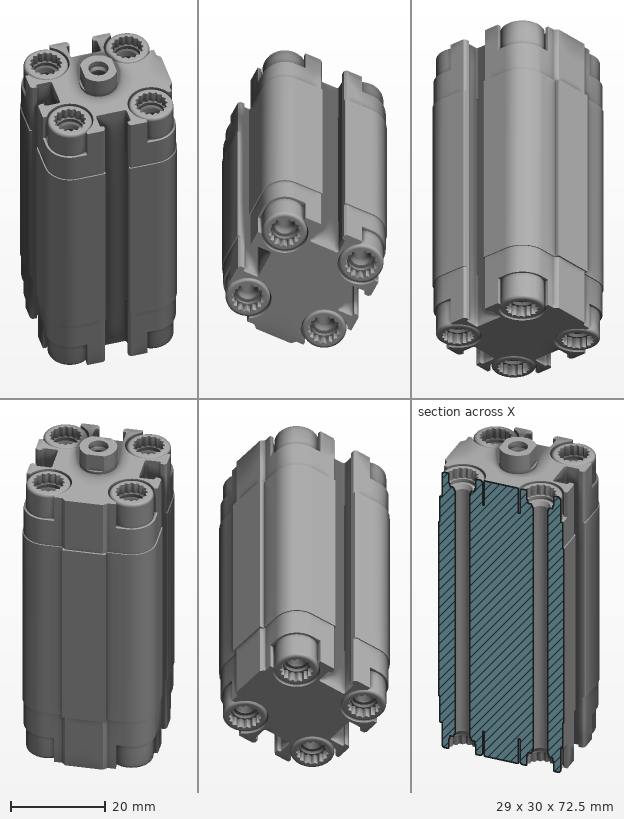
import cadquery as cq
import math

housing_height = 68.0
cap_height = 12.5
rod_stickout = 4.5
barrel_half = 14.5
corner_pitch = 18.0
cap_inset = 0.25
corner_center = corner_pitch / 2

barrel_rib_y = 15.5
barrel_rib_half_width = 4.7
cap_rib_y = 15.1
cap_rib_top_half_width = 4.1
cap_rib_foot_half_width = barrel_rib_half_width + cap_inset

slot_mouth_half = 2.6
slot_inner_half = 3.4
slot_lip_inner = 12.9
slot_floor = 9.4
cap_slot_corner_radius = 0.45
sharp_corner = 0.0
barrel_lip_bevel = 0.2
cap_lip_bevel = 0.45

head_diameter = 9.5
head_edge_radius = 0.75
relief_diameter = 10.0
relief_depth = 6.1
relief_wall = 6.66
relief_reach = barrel_half - relief_wall

socket_points = 16
socket_tip_diameter = 7.1
socket_root_diameter = 6.1
socket_depth = 2.4
socket_floor_diameter = 5.7
socket_floor_depth = 3.2
countersink_diameter = 4.3
thread_diameter = 3.24
countersink_depth = 1.0

rod_diameter = 8.0
rod_flat_width = 7.0
rod_flat_length = 3.9
rod_engagement = cap_height
rod_counterbore_depth = 1.5
rod_thread_depth = 8.0
drill_point_angle = 118.0

corner_signs = [(-1, -1), (1, -1), (-1, 1), (1, 1)]
slot_angles = [-90, 0, 90]


def t_slot(face, lip_bevel, corner_radius, bottom, height):
    """T-slot cutter for the -Y face at distance `face`, with bevelled lip edges."""
    slot_middle = (slot_lip_inner + slot_floor) / 2
    mouth = slot_mouth_half + lip_bevel
    bevel_start = face - lip_bevel
    undercut = (
        cq.Workplane("XY", origin=(0, 0, bottom))
        .center(0, -slot_middle)
        .rect(2 * slot_inner_half, slot_lip_inner - slot_floor)
        .extrude(height)
    )
    if corner_radius > 0:
        undercut = undercut.edges("|Z").fillet(corner_radius)
    opening = (
        cq.Workplane("XY", origin=(0, 0, bottom))
        .moveTo(-slot_mouth_half, -slot_middle)
        .lineTo(-slot_mouth_half, -bevel_start)
        .lineTo(-mouth, -face)
        .lineTo(mouth, -face)
        .lineTo(slot_mouth_half, -bevel_start)
        .lineTo(slot_mouth_half, -slot_middle)
        .close()
        .extrude(height)
    )
    return undercut.union(opening)


def section(
    half, rib_y, rib_top_half_width, rib_foot_half_width, lip_bevel, corner_radius, bottom, height
):
    """Rounded square length of housing with its rib and three T-slots."""
    body = (
        cq.Workplane("XY", origin=(0, 0, bottom))
        .rect(2 * half, 2 * half)
        .extrude(height)
        .edges("|Z")
        .fillet(half - corner_center)
    )
    rib = (
        cq.Workplane("XY", origin=(0, 0, bottom))
        .moveTo(-rib_foot_half_width, 0)
        .lineTo(-rib_foot_half_width, half)
        .lineTo(-rib_top_half_width, rib_y)
        .lineTo(rib_top_half_width, rib_y)
        .lineTo(rib_foot_half_width, half)
        .lineTo(rib_foot_half_width, 0)
        .close()
        .extrude(height)
    )
    body = body.union(rib)
    slot = t_slot(half, lip_bevel, corner_radius, bottom, height)
    for angle in slot_angles:
        body = body.cut(slot.rotate((0, 0, 0), (0, 0, 1), angle))
    return body


def barrel():
    return section(
        barrel_half, barrel_rib_y, barrel_rib_half_width, barrel_rib_half_width,
        barrel_lip_bevel, sharp_corner, cap_height, housing_height - 2 * cap_height,
    )


def corner_relief(sign_x, sign_y):
    """Clearance around one screw head, open to the outside of the corner."""
    bottom = housing_height - relief_depth
    x = sign_x * corner_center
    y = sign_y * corner_center
    relief = (
        cq.Workplane("XY", origin=(x, y, bottom))
        .circle(relief_diameter / 2)
        .extrude(relief_depth)
    )
    outer_corner = (
        cq.Workplane("XY", origin=(0, 0, bottom))
        .center(sign_x * (relief_wall + relief_reach / 2), sign_y * (relief_wall + relief_reach / 2))
        .rect(relief_reach, relief_reach)
        .extrude(relief_depth)
    )
    return relief.union(outer_corner)


def screw_head():
    """Round screw head on the Z axis, flush with the top of the cap."""
    return (
        cq.Workplane("XY", origin=(0, 0, housing_height - relief_depth))
        .circle(head_diameter / 2)
        .extrude(relief_depth)
        .faces(">Z")
        .edges()
        .fillet(head_edge_radius)
    )


def socket():
    """Sixteen-point socket with a round floor recess and a countersink to the thread bore."""
    outline = []
    half_step = math.pi / socket_points
    for i in range(2 * socket_points):
        diameter = socket_tip_diameter if i % 2 else socket_root_diameter
        angle = i * half_step
        outline.append((diameter / 2 * math.cos(angle), diameter / 2 * math.sin(angle)))
    star = (
        cq.Workplane("XY", origin=(0, 0, housing_height - socket_depth))
        .polyline(outline)
        .close()
        .extrude(socket_depth)
    )
    floor_z = housing_height - socket_floor_depth
    recess = (
        cq.Workplane("XY", origin=(0, 0, floor_z))
        .circle(socket_floor_diameter / 2)
        .extrude(socket_floor_depth)
    )
    countersink = (
        cq.Workplane("XY", origin=(0, 0, floor_z))
        .circle(countersink_diameter / 2)
        .workplane(offset=-countersink_depth)
        .circle(thread_diameter / 2)
        .loft()
    )
    return star.union(recess).union(countersink)


def top_cap():
    cap = section(
        barrel_half - cap_inset, cap_rib_y, cap_rib_top_half_width, cap_rib_foot_half_width,
        cap_lip_bevel, cap_slot_corner_radius, housing_height - cap_height, cap_height,
    )
    head = screw_head()
    head_socket = socket()
    for sign_x, sign_y in corner_signs:
        place = (sign_x * corner_center, sign_y * corner_center, 0)
        cap = cap.cut(corner_relief(sign_x, sign_y))
        cap = cap.union(head.translate(place))
        cap = cap.cut(head_socket.translate(place))
    return cap


def make_housing():
    cap = top_cap()
    bottom_cap = cap.mirror("XY", (0, 0, housing_height / 2))
    through_bores = (
        cq.Workplane("XY")
        .rect(corner_pitch, corner_pitch, forConstruction=True)
        .vertices()
        .circle(thread_diameter / 2)
        .extrude(housing_height)
    )
    rod_bore = (
        cq.Workplane("XY", origin=(0, 0, housing_height - rod_engagement))
        .circle(rod_diameter / 2)
        .extrude(rod_engagement)
    )
    return barrel().union(cap).union(bottom_cap).cut(through_bores).cut(rod_bore)


def make_rod():
    """Rod end with two wrench flats and a tapped hole with a drill point."""
    bottom = housing_height - rod_engagement
    top = housing_height + rod_stickout
    rod = cq.Workplane("XY", origin=(0, 0, bottom)).circle(rod_diameter / 2).extrude(top - bottom)
    flat_cut = (
        cq.Workplane("XY", origin=(0, 0, top - rod_flat_length))
        .rect(2 * rod_diameter, 2 * rod_diameter)
        .rect(2 * rod_diameter, rod_flat_width)
        .extrude(rod_flat_length)
    )
    core_radius = thread_diameter / 2
    entry_radius = countersink_diameter / 2
    step = entry_radius - core_radius
    point_depth = core_radius / math.tan(math.radians(drill_point_angle / 2))
    hole = (
        cq.Workplane("XZ")
        .moveTo(0, top)
        .lineTo(entry_radius, top)
        .lineTo(entry_radius, top - rod_counterbore_depth)
        .lineTo(core_radius, top - rod_counterbore_depth - step)
        .lineTo(core_radius, top - rod_thread_depth)
        .lineTo(0, top - rod_thread_depth - point_depth)
        .close()
        .revolve(360, (0, 0, 0), (0, 1, 0))
    )
    return rod.cut(flat_cut).cut(hole)


housing = make_housing()
rod = make_rod()

result = cq.Compound.makeCompound([housing.val(), rod.val()])